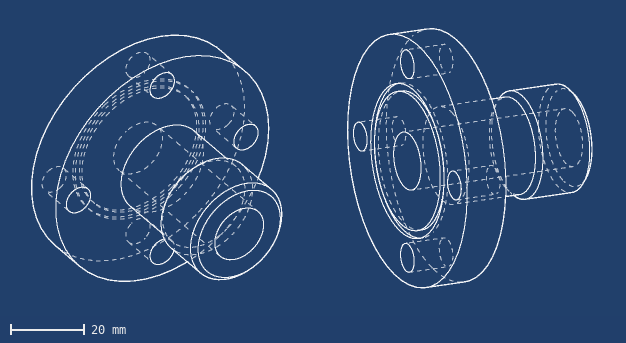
import cadquery as cq

flange_diameter = 70.0
total_length = 50.0
flange_thickness = 12.0

neck_diameter = 27.0
collar_diameter = 30.0
collar_start = 32.5
collar_chamfer = (collar_diameter - neck_diameter) / 2

bore_diameter = 16.0
bolt_hole_diameter = 8.0
bolt_circle_diameter = 55.0
bolt_count = 4

groove_outer_diameter = 42.85
groove_inner_diameter = 38.5
groove_depth = 1.2


def cylinder_along_x(diameter, start, end):
    """Solid cylinder on the X axis between two X positions."""
    return cq.Workplane("YZ", origin=(start, 0, 0)).circle(diameter / 2).extrude(end - start)


def make_body():
    flange = cylinder_along_x(flange_diameter, 0, flange_thickness)
    neck = cylinder_along_x(neck_diameter, 0, collar_start)
    collar = cylinder_along_x(collar_diameter, collar_start, total_length)
    collar = collar.edges("%CIRCLE").chamfer(collar_chamfer)
    return flange.union(neck).union(collar)


def make_bolt_holes():
    return (
        cq.Workplane("YZ")
        .polarArray(bolt_circle_diameter / 2, 0, 360, bolt_count)
        .circle(bolt_hole_diameter / 2)
        .extrude(flange_thickness)
    )


def make_groove():
    outer = cylinder_along_x(groove_outer_diameter, 0, groove_depth)
    inner = cylinder_along_x(groove_inner_diameter, 0, groove_depth)
    return outer.cut(inner)


bore = cylinder_along_x(bore_diameter, 0, total_length)
result = make_body().cut(bore).cut(make_bolt_holes()).cut(make_groove())